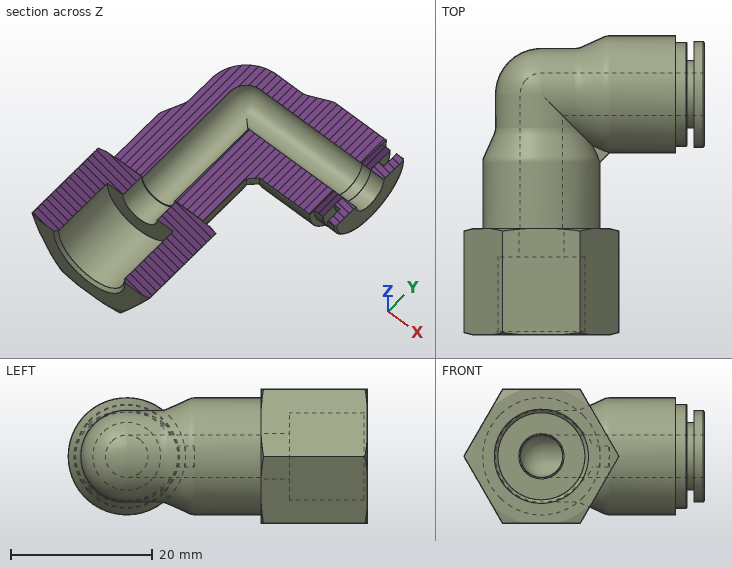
import cadquery as cq
import math


neck_diameter = 13.0
socket_diameter = 16.6
cone_start = 5.25
cone_end = 9.22
cone_blend_radius = 2.2
web_corner = 9.6
web_thickness = 2.95
passage_diameter = 6.0

hex_across_flats = 19.0
overall_y = 42.3
hex_top = 19.0
hex_bottom = overall_y - socket_diameter / 2
hex_length = hex_bottom - hex_top
hex_corner_radius = hex_across_flats / 2 / math.cos(math.radians(30))
hex_face_radius = 9.75
hex_chamfer_angle = 15.0
thread_diameter = 12.3
thread_depth = 11.0
thread_mouth_chamfer = 0.5
hex_through_diameter = 6.4

socket_end = 19.0
ring_diameter = 14.7
ring_length = 1.6
ring_edge_chamfer = 0.13
ring_end = socket_end + ring_length
collet_neck_diameter = 9.6
collet_neck_length = 0.97
flange_width_y = 14.97
flange_width_z = 13.0
overall_x = 34.05
collet_end = overall_x - hex_corner_radius
flange_start = ring_end + collet_neck_length
flange_length = collet_end - flange_start
flange_edge_chamfer = 0.25


def cylinder_along_x(diameter, start, end):
    return cq.Workplane("YZ").workplane(offset=start).circle(diameter / 2).extrude(end - start)


def cylinder_along_minus_y(diameter, start, end):
    return cq.Workplane("XZ").workplane(offset=start).circle(diameter / 2).extrude(end - start)


def onto_threaded_arm(tube_arm_shape):
    """Turn a round shape from the +X axis onto the -Y axis."""
    return tube_arm_shape.rotate((0, 0, 0), (0, 0, 1), -90)


def make_elbow_arm():
    """One arm along +X: neck, blended cone and socket."""
    neck_radius = neck_diameter / 2
    socket_radius = socket_diameter / 2
    cone_angle = math.atan2(socket_radius - neck_radius, cone_end - cone_start)
    tangent_length = cone_blend_radius * math.tan(cone_angle / 2)
    along_cone_x = tangent_length * math.cos(cone_angle)
    along_cone_r = tangent_length * math.sin(cone_angle)
    profile = (
        cq.Workplane("XY")
        .lineTo(0, neck_radius)
        .lineTo(cone_start - tangent_length, neck_radius)
        .tangentArcPoint((cone_start + along_cone_x, neck_radius + along_cone_r), relative=False)
        .lineTo(cone_end - along_cone_x, socket_radius - along_cone_r)
        .tangentArcPoint((cone_end + tangent_length, socket_radius), relative=False)
        .lineTo(socket_end, socket_radius)
        .lineTo(socket_end, 0)
        .close()
    )
    return profile.revolve(360, (0, 0, 0), (1, 0, 0))


def make_web():
    """Flat web that closes the inside corner between the two arms."""
    socket_radius = socket_diameter / 2
    return (
        cq.Workplane("XY")
        .polyline([(0, 0), (web_corner, -socket_radius), (socket_radius, -web_corner)])
        .close()
        .extrude(web_thickness / 2, both=True)
    )


def make_elbow():
    arm = make_elbow_arm()
    corner_ball = cq.Workplane("XY").sphere(neck_diameter / 2)
    outside = arm.union(onto_threaded_arm(arm)).union(corner_ball).union(make_web())

    passage = cylinder_along_x(passage_diameter, 0, socket_end)
    passage_corner = cq.Workplane("XY").sphere(passage_diameter / 2)
    return outside.cut(passage).cut(onto_threaded_arm(passage)).cut(passage_corner)


def make_hex_socket():
    prism = (
        cq.Workplane("XZ")
        .workplane(offset=hex_top)
        .polygon(6, 2 * hex_corner_radius)
        .extrude(hex_length)
    )

    corner_drop = (hex_corner_radius - hex_face_radius) * math.tan(math.radians(hex_chamfer_angle))
    turned_blank = (
        cq.Workplane("XY")
        .moveTo(0, -hex_top)
        .lineTo(hex_face_radius, -hex_top)
        .lineTo(hex_corner_radius, -hex_top - corner_drop)
        .lineTo(hex_corner_radius, -hex_bottom + corner_drop)
        .lineTo(hex_face_radius, -hex_bottom)
        .lineTo(0, -hex_bottom)
        .close()
        .revolve(360, (0, 0, 0), (0, 1, 0))
    )

    thread_bore = cylinder_along_minus_y(thread_diameter, hex_bottom - thread_depth, hex_bottom)
    through_hole = cylinder_along_minus_y(hex_through_diameter, hex_top, hex_bottom)
    bored = prism.intersect(turned_blank).cut(thread_bore).cut(through_hole)
    smallest_circle = cq.selectors.RadiusNthSelector(0)
    return bored.faces("<Y").edges("%CIRCLE").edges(smallest_circle).chamfer(thread_mouth_chamfer)


def make_guide_ring():
    ring = cylinder_along_x(ring_diameter, socket_end, ring_end)
    ring = ring.faces(">X").edges().chamfer(ring_edge_chamfer)
    return ring.cut(cylinder_along_x(passage_diameter, socket_end, ring_end))


def make_release_collet():
    neck = cylinder_along_x(collet_neck_diameter, ring_end, flange_start)
    flange = (
        cq.Workplane("YZ")
        .workplane(offset=flange_start)
        .ellipse(flange_width_y / 2, flange_width_z / 2)
        .extrude(flange_length)
        .faces(">X")
        .edges()
        .chamfer(flange_edge_chamfer)
    )
    return neck.union(flange).cut(cylinder_along_x(passage_diameter, ring_end, collet_end))


elbow = make_elbow()
hex_socket = make_hex_socket()
guide_ring = make_guide_ring()
release_collet = make_release_collet()

result = cq.Compound.makeCompound(
    [elbow.val(), hex_socket.val(), guide_ring.val(), release_collet.val()]
)